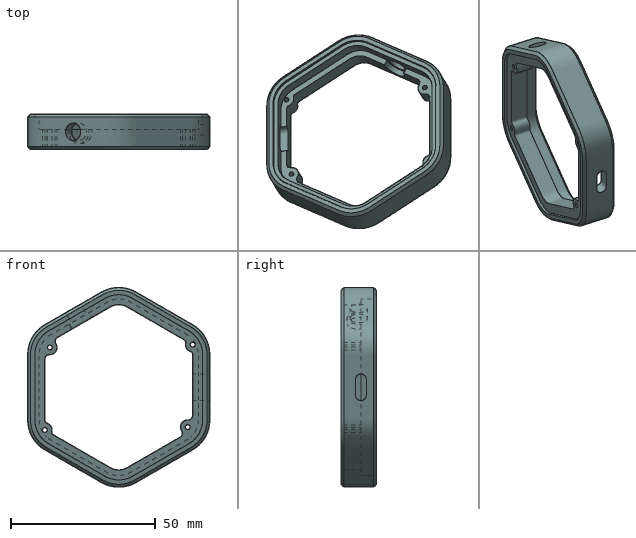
import cadquery as cq
import math

ACROSS_FLATS = 63.0
DEPTH = 12.3
CORNER_RADIUS = 12.0
EDGE_CHAMFER = 1.0

LEDGE_INSET = 2.5
LEDGE_DEPTH = 1.0
OPENING_INSET = 6.0
POCKET_INSET = 4.0
POCKET_START = 7.0

BOSS_RADIUS = 2.5
SCREW_DIAMETER = 1.6
OUTER_BOSS_DISTANCE = 29.5
OUTER_BOSS_FILLET = 1.0
INNER_BOSS_DISTANCE = 27.5
INNER_BOSS_FILLET = 1.5
BOSSES = [
    (30, OUTER_BOSS_DISTANCE, OUTER_BOSS_FILLET),
    (150, INNER_BOSS_DISTANCE, INNER_BOSS_FILLET),
    (210, OUTER_BOSS_DISTANCE, OUTER_BOSS_FILLET),
    (330, INNER_BOSS_DISTANCE, INNER_BOSS_FILLET),
]

WALL_HOLE_ANGLE = 120
WALL_HOLE_DIAMETER = 6.0
COUNTERBORE_DIAMETER = 8.0

SLOT_LENGTH = 9.2
SLOT_WIDTH = 3.7
SLOT_CENTER_Y = 6.9

HALF_FLATS = ACROSS_FLATS / 2
WALL_CUT_START = HALF_FLATS - 2 * OPENING_INSET
WALL_CUT_END = HALF_FLATS + OPENING_INSET


def polar(distance, angle):
    """X and Z of a point given by its distance from the ring axis and its angle."""
    turn = math.radians(angle)
    return distance * math.cos(turn), distance * math.sin(turn)


def hexagon_prism(inset, y_start, y_end):
    """Sharp hexagonal prism whose flats lie inset from the outer flats."""
    corner_distance = (HALF_FLATS - inset) / math.cos(math.radians(30))
    corners = [polar(corner_distance, angle) for angle in range(30, 390, 60)]
    plane = cq.Workplane("XZ", origin=(0, y_start, 0))
    return plane.polyline(corners).close().extrude(y_start - y_end)


def rounded_hexagon(inset, y_start, y_end):
    """Hexagonal prism with corners concentric to the outer corners."""
    prism = hexagon_prism(inset, y_start, y_end)
    return prism.edges("|Y").fillet(CORNER_RADIUS - inset)


def boss_rods(diameter):
    """Cylinders along Y through the full depth at the boss centres."""
    centers = [polar(distance, angle) for angle, distance, _ in BOSSES]
    return cq.Workplane("XZ").pushPoints(centers).circle(diameter / 2).extrude(-DEPTH)


def opening():
    """Clear opening: rounded top and bottom corners, scalloped around the bosses."""
    prism = hexagon_prism(OPENING_INSET, 0, DEPTH)
    prism = prism.edges("|Y and (>Z or <Z)").fillet(CORNER_RADIUS - OPENING_INSET)
    prism = prism.cut(boss_rods(2 * BOSS_RADIUS))
    reach = 2 * BOSS_RADIUS
    for angle, distance, fillet in BOSSES:
        x, z = polar(distance, angle)
        near_boss = cq.selectors.BoxSelector(
            (x - reach, 0, z - reach),
            (x + reach, DEPTH, z + reach),
        )
        prism = prism.edges("|Y").edges(near_boss).fillet(fillet)
    return prism


def wall_hole():
    """Counterbored hole square to one flat, centred in the ring depth."""
    x, z = polar(WALL_CUT_START, WALL_HOLE_ANGLE)
    plane = cq.Plane(
        origin=(x, DEPTH / 2, z),
        xDir=(0, 1, 0),
        normal=(x, 0, z),
    )
    hole = cq.Workplane(plane).circle(WALL_HOLE_DIAMETER / 2)
    hole = hole.extrude(WALL_CUT_END - WALL_CUT_START)
    counterbore = cq.Workplane(plane).circle(COUNTERBORE_DIAMETER / 2)
    counterbore = counterbore.extrude(HALF_FLATS - POCKET_INSET - WALL_CUT_START)
    return hole.union(counterbore)


def wall_slot():
    """Slot with its long side along Z."""
    plane = cq.Workplane("YZ", origin=(WALL_CUT_START, SLOT_CENTER_Y, 0))
    return plane.slot2D(SLOT_LENGTH, SLOT_WIDTH, 90).extrude(WALL_CUT_END - WALL_CUT_START)


ring = rounded_hexagon(0, 0, DEPTH).faces("<Y or >Y").chamfer(EDGE_CHAMFER)
ring = ring.cut(rounded_hexagon(LEDGE_INSET, 0, LEDGE_DEPTH))
ring = ring.cut(rounded_hexagon(LEDGE_INSET, DEPTH - LEDGE_DEPTH, DEPTH))
ring = ring.cut(rounded_hexagon(POCKET_INSET, POCKET_START, DEPTH))
ring = ring.cut(opening())
ring = ring.cut(boss_rods(SCREW_DIAMETER))
ring = ring.cut(wall_hole())
result = ring.cut(wall_slot())